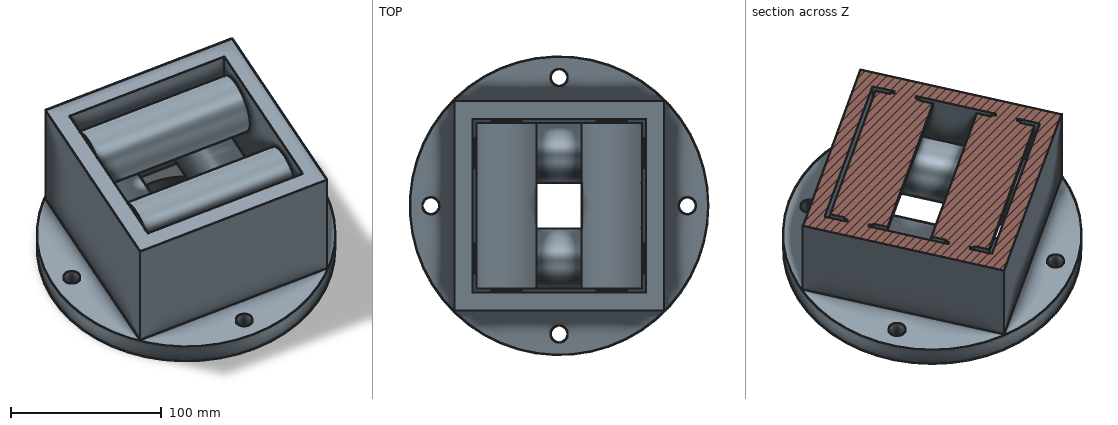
import cadquery as cq

flange_diameter = 198.0
flange_thickness = 15.0
opening_diameter = 100.0
bolt_hole_diameter = 11.0
bolt_circle_diameter = 170.0
bolt_hole_count = 4

total_height = 105.0
housing_width = 139.0
cavity_width = 115.0

roller_diameter = 40.0
roller_clearance = 2.5
roller_length = cavity_width - 2 * roller_clearance
roller_spacing = cavity_width - 2 * roller_clearance - roller_diameter
lower_roller_height = flange_thickness + roller_clearance + roller_diameter / 2
upper_roller_height = 82.0

shoulder_diameter = 20.0
journal_diameter = 15.0
shoulder_length = (roller_length + cavity_width) / 2


def make_flange():
    """Base disc with its central opening and bolt holes."""
    return (
        cq.Workplane("XY")
        .circle(flange_diameter / 2)
        .circle(opening_diameter / 2)
        .extrude(flange_thickness)
        .faces(">Z")
        .workplane()
        .polarArray(bolt_circle_diameter / 2, 0, 360, bolt_hole_count)
        .hole(bolt_hole_diameter)
    )


def make_housing():
    """Square tube standing on the flange."""
    return (
        cq.Workplane("XY")
        .workplane(offset=flange_thickness)
        .rect(housing_width, housing_width)
        .rect(cavity_width, cavity_width)
        .extrude(total_height - flange_thickness)
    )


def make_centred_bar(diameter, length):
    """Round bar along X, centred on the origin."""
    return cq.Workplane("YZ").workplane(offset=-length / 2).circle(diameter / 2).extrude(length)


def make_roller():
    """Roller along X, centred on the origin, with journals that reach both walls."""
    barrel = make_centred_bar(roller_diameter, roller_length)
    shoulders = make_centred_bar(shoulder_diameter, shoulder_length)
    journals = make_centred_bar(journal_diameter, cavity_width)
    return barrel.union(shoulders).union(journals)


result = make_flange().union(make_housing())
roller = make_roller()
for side in (-1, 1):
    offset = side * roller_spacing / 2
    lower_roller = roller.translate((0, offset, lower_roller_height))
    upper_roller = roller.rotate((0, 0, 0), (0, 0, 1), 90).translate((offset, 0, upper_roller_height))
    result = result.union(lower_roller).union(upper_roller)